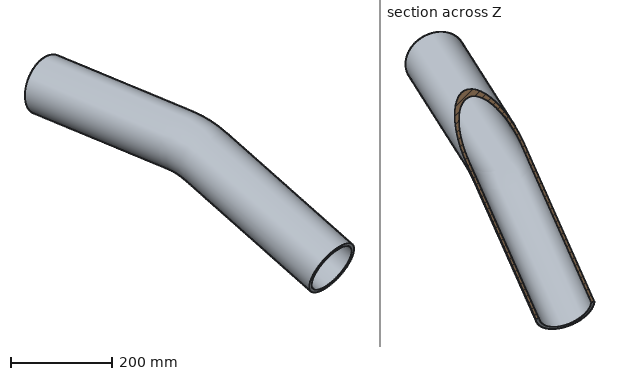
import cadquery as cq
import math

overall_length = 775.5
outer_diameter = 125.0
inner_diameter = 110.0
bend_radius = 188.0
bend_angle = 22.0

angle = math.radians(bend_angle)
bend_reach = (bend_radius + outer_diameter / 2) * math.sin(angle)
leg_length = (overall_length - bend_reach) / (1 + math.cos(angle))

bend_end = (bend_radius * math.sin(angle), -bend_radius * (1 - math.cos(angle)))
bend_middle = (
    bend_radius * math.sin(angle / 2),
    -bend_radius * (1 - math.cos(angle / 2)),
)
pipe_end = (
    bend_end[0] + leg_length * math.cos(angle),
    bend_end[1] - leg_length * math.sin(angle),
)
centreline = (
    cq.Workplane("XZ")
    .moveTo(-leg_length, 0)
    .lineTo(0, 0)
    .threePointArc(bend_middle, bend_end)
    .lineTo(*pipe_end)
)

wall_section = (
    cq.Workplane("YZ", origin=(-leg_length, 0, 0))
    .circle(outer_diameter / 2)
    .circle(inner_diameter / 2)
)
result = wall_section.sweep(centreline)